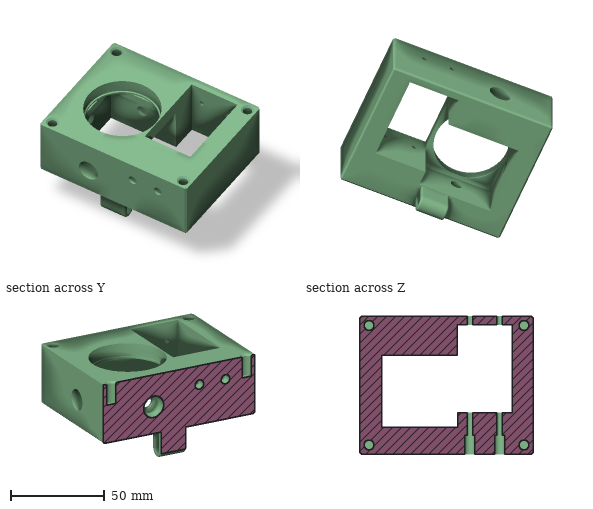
import cadquery as cq

BODY_LENGTH = 93.0
BODY_DEPTH = 74.03
BODY_HEIGHT = 34.0
EDGE_CHAMFER = 1.0

SCREW_SPACING_X = 83.0
SCREW_SPACING_Y = 64.0
SCREW_DIAMETER = 5.0
SCREW_DEPTH = 12.0
SCREW_CHAMFER = 1.0

WINDOW_LENGTH = 29.0
WINDOW_DEPTH = 47.0
WINDOW_X = 20.5
WINDOW_Y = 8.8

SEAT_X = -15.5
SEAT_Y = -3.2
SEAT_DIAMETER = 42.0
SEAT_FLOOR_Z = 26.7
LIP_DIAMETER = 40.0
LIP_THICKNESS = 1.0

UPPER_CHAMBER_WIDTH = 38.2
LOWER_CHAMBER_WIDTH = 39.7
CHAMBER_STEP_Z = 21.0

PASSAGE_Z = 15.5
PASSAGE_DIAMETER = 6.4
PASSAGE_BORE_DIAMETER = 12.0
PASSAGE_WEB = 2.0

PIN_SPACING = 16.0
PIN_Z = 23.0
PIN_DIAMETER = 2.7
PIN_BORE_DIAMETER = 5.0
PIN_BORE_DEPTH = 10.0

LOOP_X = -3.4
LOOP_Y = -27.8
LOOP_LENGTH = 16.0
LOOP_DROP = 15.4
LOOP_INNER_DIAMETER = 5.0
LOOP_WALL = 2.0
LOOP_FILLET = 1.0

FRONT_Y = -BODY_DEPTH / 2
REAR_Y = BODY_DEPTH / 2
LEFT_X = -BODY_LENGTH / 2
WINDOW_LEFT_X = WINDOW_X - WINDOW_LENGTH / 2


def make_body():
    """Block with chamfered vertical and bottom edges; the top edges stay sharp."""
    block = cq.Workplane("XY").box(BODY_LENGTH, BODY_DEPTH, BODY_HEIGHT, centered=(True, True, False))
    return block.edges("|Z or <Z").chamfer(EDGE_CHAMFER)


def cylinder_up(x, y, bottom, top, diameter):
    """Vertical cylinder between two heights."""
    return cq.Workplane("XY", origin=(x, y, bottom)).circle(diameter / 2).extrude(top - bottom)


def cylinder_back(x, z, start_y, length, diameter):
    """Cylinder running from start_y toward +Y."""
    return cq.Workplane("XZ", origin=(x, start_y, z)).circle(diameter / 2).extrude(-length)


def cylinder_right(y, z, length, diameter):
    """Cylinder running from the left face toward +X."""
    return cq.Workplane("YZ", origin=(LEFT_X, y, z)).circle(diameter / 2).extrude(length)


def chamber_level(width, top):
    """Square-sided room around the seat axis, from the underside to top, reaching the window."""
    left = SEAT_X - width / 2
    length = WINDOW_LEFT_X - left
    room = cq.Workplane("XY").box(length, width, top, centered=(False, True, False))
    return room.translate((left, SEAT_Y, 0))


def cut_window(body):
    window = cq.Workplane("XY").box(WINDOW_LENGTH, WINDOW_DEPTH, BODY_HEIGHT, centered=(True, True, False))
    return body.cut(window.translate((WINDOW_X, WINDOW_Y, 0)))


def cut_seat_and_chamber(body):
    lip_bottom = SEAT_FLOOR_Z - LIP_THICKNESS
    body = body.cut(cylinder_up(SEAT_X, SEAT_Y, SEAT_FLOOR_Z, BODY_HEIGHT, SEAT_DIAMETER))
    body = body.cut(cylinder_up(SEAT_X, SEAT_Y, lip_bottom, SEAT_FLOOR_Z, LIP_DIAMETER))
    body = body.cut(chamber_level(UPPER_CHAMBER_WIDTH, lip_bottom))
    return body.cut(chamber_level(LOWER_CHAMBER_WIDTH, CHAMBER_STEP_Z))


def cut_screw_holes(body):
    """Blind holes with a chamfered mouth at the four corners."""
    mouth_diameter = SCREW_DIAMETER + 2 * SCREW_CHAMFER
    return (
        body.faces(">Z")
        .workplane(origin=(0, 0, BODY_HEIGHT))
        .rect(SCREW_SPACING_X, SCREW_SPACING_Y, forConstruction=True)
        .vertices()
        .cskHole(SCREW_DIAMETER, mouth_diameter, 90, SCREW_DEPTH)
    )


def cut_passages(body):
    """One passage crosses the chamber from front to rear; the left one ends in the chamber."""
    half_chamber = LOWER_CHAMBER_WIDTH / 2
    front_bore_depth = SEAT_Y - half_chamber - PASSAGE_WEB - FRONT_Y
    rear_bore_start = SEAT_Y + half_chamber + PASSAGE_WEB
    rear_bore_depth = REAR_Y - rear_bore_start
    left_bore_depth = SEAT_X - half_chamber - PASSAGE_WEB - LEFT_X
    body = body.cut(cylinder_back(SEAT_X, PASSAGE_Z, FRONT_Y, BODY_DEPTH, PASSAGE_DIAMETER))
    body = body.cut(cylinder_back(SEAT_X, PASSAGE_Z, FRONT_Y, front_bore_depth, PASSAGE_BORE_DIAMETER))
    body = body.cut(cylinder_back(SEAT_X, PASSAGE_Z, rear_bore_start, rear_bore_depth, PASSAGE_BORE_DIAMETER))
    body = body.cut(cylinder_right(SEAT_Y, PASSAGE_Z, SEAT_X - LEFT_X, PASSAGE_DIAMETER))
    return body.cut(cylinder_right(SEAT_Y, PASSAGE_Z, left_bore_depth, PASSAGE_BORE_DIAMETER))


def cut_pin_holes(body):
    for side in (-1, 1):
        x = WINDOW_X + side * PIN_SPACING / 2
        body = body.cut(cylinder_back(x, PIN_Z, FRONT_Y, BODY_DEPTH, PIN_DIAMETER))
        body = body.cut(cylinder_back(x, PIN_Z, FRONT_Y, PIN_BORE_DEPTH, PIN_BORE_DIAMETER))
    return body


def loop_blank(radius, length):
    """Slab with a half-round lower end, hanging from Z = 0 and centred on the loop."""
    axis_z = LOOP_INNER_DIAMETER / 2 + LOOP_WALL - LOOP_DROP
    return (
        cq.Workplane("YZ", origin=(LOOP_X - length / 2, LOOP_Y, 0))
        .moveTo(-radius, 0)
        .lineTo(-radius, axis_z)
        .threePointArc((0, axis_z - radius), (radius, axis_z))
        .lineTo(radius, 0)
        .close()
        .extrude(length)
    )


def make_loop():
    """U-shaped strap with its outer side edges rounded."""
    inner_radius = LOOP_INNER_DIAMETER / 2
    strap = loop_blank(inner_radius + LOOP_WALL, LOOP_LENGTH)
    strap = strap.faces("<X or >X").edges("not >Z").fillet(LOOP_FILLET)
    return strap.cut(loop_blank(inner_radius, LOOP_LENGTH))


body = make_body()
body = cut_window(body)
body = cut_seat_and_chamber(body)
body = cut_screw_holes(body)
body = cut_passages(body)
body = cut_pin_holes(body)
result = body.union(make_loop())